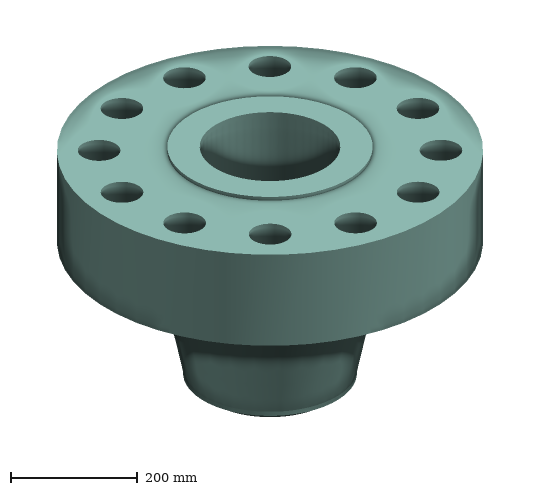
import cadquery as cq
import math

flange_diameter = 673.0
total_height = 425.5
raised_face_diameter = 324.5
raised_face_height = 7.0
flange_thickness = 165.0

bore_diameter = 222.0
bolt_hole_diameter = 67.0
bolt_circle_diameter = 540.0
bolt_hole_count = 12

neck_end_diameter = 274.5
root_fillet_radius = 20.0
neck_taper_angle = math.radians(12.3)
straight_end_height = 22.0
bevel_shoulder_height = 15.0
bevel_middle_height = 10.0
bevel_middle_diameter = 252.0
weld_face_diameter = 230.0

flange_top = total_height - raised_face_height
flange_bottom = flange_top - flange_thickness
neck_top = flange_bottom - root_fillet_radius * (1 - math.sin(neck_taper_angle))


def make_body():
    """Revolve the solid half-section about the Z axis."""
    end_radius = neck_end_diameter / 2
    neck_radius = end_radius + (neck_top - straight_end_height) * math.tan(neck_taper_angle)
    fillet_end_radius = neck_radius + root_fillet_radius * math.cos(neck_taper_angle)
    bevel_middle = (bevel_middle_diameter / 2, bevel_middle_height)
    return (
        cq.Workplane("XZ")
        .lineTo(weld_face_diameter / 2, 0)
        .threePointArc(bevel_middle, (end_radius, bevel_shoulder_height))
        .lineTo(end_radius, straight_end_height)
        .lineTo(neck_radius, neck_top)
        .tangentArcPoint((fillet_end_radius, flange_bottom), relative=False)
        .lineTo(flange_diameter / 2, flange_bottom)
        .lineTo(flange_diameter / 2, flange_top)
        .lineTo(raised_face_diameter / 2, flange_top)
        .lineTo(raised_face_diameter / 2, total_height)
        .lineTo(0, total_height)
        .close()
        .revolve(360, (0, 0, 0), (0, 1, 0))
    )


def make_bore():
    return cq.Workplane("XY").circle(bore_diameter / 2).extrude(total_height)


def make_bolt_holes():
    """Ring of holes through the flange, the first one on the +X axis."""
    return (
        cq.Workplane("XY", origin=(0, 0, flange_bottom))
        .polarArray(bolt_circle_diameter / 2, 0, 360, bolt_hole_count)
        .circle(bolt_hole_diameter / 2)
        .extrude(flange_thickness)
    )


result = make_body().cut(make_bore()).cut(make_bolt_holes())